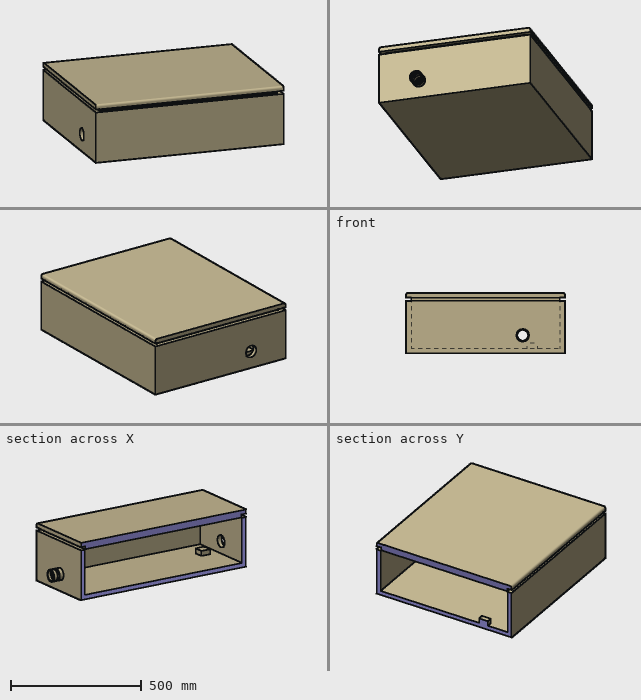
import cadquery as cq

WIDTH = 609.5
LENGTH = 762.5
OVERALL_LENGTH = 805.0
TOTAL_HEIGHT = 232.0
BASE_HEIGHT = 201.0

PLATE_THICKNESS = 18.5
PLATE_EDGE_RADIUS = 9.0
NECK_INSET = 20.0
NECK_HEIGHT = TOTAL_HEIGHT - BASE_HEIGHT - PLATE_THICKNESS

WALL = 20.0
FLOOR = 20.0

REST_WIDTH = 40.0
REST_LENGTH = 40.0
REST_HEIGHT = 20.0
REST_RIGHT_X = 198.0
REST_FRONT_GAP = 39.5

PIPE_X = 142.5
PIPE_Z = 69.0
PIPE_DIAMETER = 48.0
PIPE_BORE = 41.0
PIPE_PROTRUSION = OVERALL_LENGTH - LENGTH
GROOVE_DIAMETER = 45.0
GROOVE_WIDTH = 9.0
GROOVE_END_DISTANCE = 16.0

FRONT_Y = -LENGTH / 2
BACK_Y = LENGTH / 2


def cylinder_along_y(diameter, start_y, length):
    """Solid cylinder on the pipe axis, growing toward +Y from start_y."""
    plane = cq.Plane(origin=(PIPE_X, start_y, PIPE_Z), xDir=(1, 0, 0), normal=(0, 1, 0))
    return cq.Workplane(plane).circle(diameter / 2).extrude(length)


def make_base():
    """Open-topped box with a rest block inside and holes in its front and rear walls."""
    block = cq.Workplane("XY").box(WIDTH, LENGTH, BASE_HEIGHT, centered=(True, True, False))
    cavity = cq.Workplane("XY", origin=(0, 0, FLOOR)).box(
        WIDTH - 2 * WALL, LENGTH - 2 * WALL, BASE_HEIGHT - FLOOR, centered=(True, True, False)
    )
    rest_corner = (REST_RIGHT_X - REST_WIDTH, FRONT_Y + WALL + REST_FRONT_GAP, FLOOR)
    rest = cq.Workplane("XY", origin=rest_corner).box(
        REST_WIDTH, REST_LENGTH, REST_HEIGHT, centered=False
    )
    shell = block.cut(cavity).union(rest)
    return shell.cut(cylinder_along_y(PIPE_DIAMETER, FRONT_Y, LENGTH))


def make_lid():
    """Cover plate with rounded long top edges, carried by its inset neck."""
    neck = cq.Workplane("XY", origin=(0, 0, BASE_HEIGHT)).box(
        WIDTH - 2 * NECK_INSET,
        LENGTH - 2 * NECK_INSET,
        NECK_HEIGHT,
        centered=(True, True, False),
    )
    plate = cq.Workplane("XY", origin=(0, 0, BASE_HEIGHT + NECK_HEIGHT)).box(
        WIDTH, LENGTH, PLATE_THICKNESS, centered=(True, True, False)
    )
    plate = plate.faces(">Z").edges("|Y").fillet(PLATE_EDGE_RADIUS)
    return plate.union(neck)


def make_pipe():
    """Tube flush with the inside of the rear wall, with a groove near its outer end."""
    start_y = BACK_Y - WALL
    length = BACK_Y + PIPE_PROTRUSION - start_y
    tube = cylinder_along_y(PIPE_DIAMETER, start_y, length)
    groove_y = BACK_Y + PIPE_PROTRUSION - GROOVE_END_DISTANCE - GROOVE_WIDTH
    groove = cylinder_along_y(PIPE_DIAMETER, groove_y, GROOVE_WIDTH).cut(
        cylinder_along_y(GROOVE_DIAMETER, groove_y, GROOVE_WIDTH)
    )
    return tube.cut(groove).cut(cylinder_along_y(PIPE_BORE, start_y, length))


base = make_base()
lid = make_lid()
pipe = make_pipe()

result = cq.Compound.makeCompound([base.val(), lid.val(), pipe.val()])